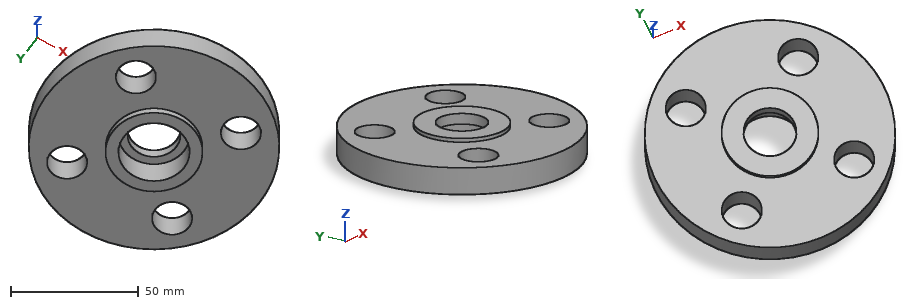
import cadquery as cq

flange_diameter = 98.55
flange_thickness = 11.2

raised_face_diameter = 38.1
raised_face_height = 1.6
hub_diameter = raised_face_diameter
hub_height = 3.0

bore_diameter = 20.8
bore_depth = 4.4
socket_diameter = 28.0
bolt_hole_diameter = 15.8
bolt_hole_spacing = 49.4

flange_top = hub_height + flange_thickness
total_height = flange_top + raised_face_height
socket_depth = total_height - bore_depth


def disc(diameter, bottom, height):
    """Solid cylinder about the Z axis."""
    return cq.Workplane("XY").workplane(offset=bottom).circle(diameter / 2).extrude(height)


hub = disc(hub_diameter, 0, hub_height)
flange = disc(flange_diameter, hub_height, flange_thickness)
raised_face = disc(raised_face_diameter, flange_top, raised_face_height)
body = hub.union(flange).union(raised_face)

bore = disc(bore_diameter, 0, total_height)
socket = disc(socket_diameter, 0, socket_depth)

bolt_holes = (
    cq.Workplane("XY")
    .workplane(offset=hub_height)
    .rect(bolt_hole_spacing, bolt_hole_spacing, forConstruction=True)
    .vertices()
    .circle(bolt_hole_diameter / 2)
    .extrude(flange_thickness)
)

result = body.cut(bore).cut(socket).cut(bolt_holes)